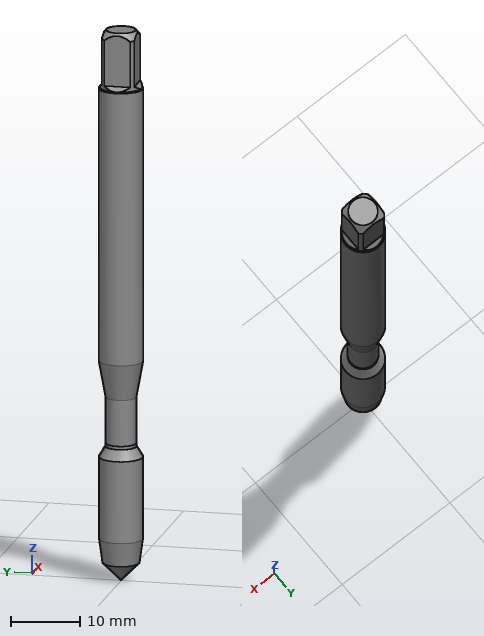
import cadquery as cq

LENGTH = 82.4

POINT_HEIGHT = 2.7
POINT_DIAMETER = 2 * POINT_HEIGHT
LEAD_TOP = 6.35
THREAD_DIAMETER = 6.4
THREAD_TOP = 18.55
BACK_TAPER_TOP = 20.1
HEAD_TOP = 20.6

NECK_DIAMETER = 4.5
NECK_TOP = 27.5
FLARE_TOP = 33.0
SHANK_DIAMETER = 6.5
SHANK_TOP = 73.7

DRIVE_DIAMETER = 6.2
DRIVE_END_DIAMETER = 4.3
DRIVE_CHAMFER_HEIGHT = 1.1
SHOULDER_HEIGHT = (SHANK_DIAMETER - DRIVE_DIAMETER) / 2
SQUARE_WIDTH = 4.9
FLAT_BOTTOM = 74.5
FLAT_COUNT = 4


def revolve_profile(points):
    """Revolve a closed (radius, height) outline about the Z axis."""
    return cq.Workplane("XZ").polyline(points).close().revolve(360, (0, 0), (0, 1))


def make_head():
    """Cutting head: conical point, tapered lead, thread and back taper."""
    return revolve_profile([
        (0, 0),
        (POINT_DIAMETER / 2, POINT_HEIGHT),
        (THREAD_DIAMETER / 2, LEAD_TOP),
        (THREAD_DIAMETER / 2, THREAD_TOP),
        (NECK_DIAMETER / 2, BACK_TAPER_TOP),
        (NECK_DIAMETER / 2, HEAD_TOP),
        (0, HEAD_TOP),
    ])


def make_flat_cutter():
    """Cutter for the flat facing -Y, with a 45 degree ramp at its foot."""
    flat_y = -SQUARE_WIDTH / 2
    reach = SHANK_DIAMETER
    return (
        cq.Workplane("YZ")
        .moveTo(flat_y, LENGTH)
        .lineTo(flat_y, FLAT_BOTTOM)
        .lineTo(flat_y - reach, FLAT_BOTTOM - reach)
        .lineTo(flat_y - reach, LENGTH)
        .close()
        .extrude(SHANK_DIAMETER, both=True)
    )


def make_shank():
    """Neck, flare and round shank, ending in the driving square."""
    shank = revolve_profile([
        (0, HEAD_TOP),
        (NECK_DIAMETER / 2, HEAD_TOP),
        (NECK_DIAMETER / 2, NECK_TOP),
        (SHANK_DIAMETER / 2, FLARE_TOP),
        (SHANK_DIAMETER / 2, SHANK_TOP),
        (DRIVE_DIAMETER / 2, SHANK_TOP + SHOULDER_HEIGHT),
        (DRIVE_DIAMETER / 2, LENGTH - DRIVE_CHAMFER_HEIGHT),
        (DRIVE_END_DIAMETER / 2, LENGTH),
        (0, LENGTH),
    ])
    cutter = make_flat_cutter()
    for index in range(FLAT_COUNT):
        angle = index * 360 / FLAT_COUNT
        shank = shank.cut(cutter.rotate((0, 0, 0), (0, 0, 1), angle))
    return shank


head = make_head()
shank = make_shank()

result = cq.Compound.makeCompound([head.val(), shank.val()])